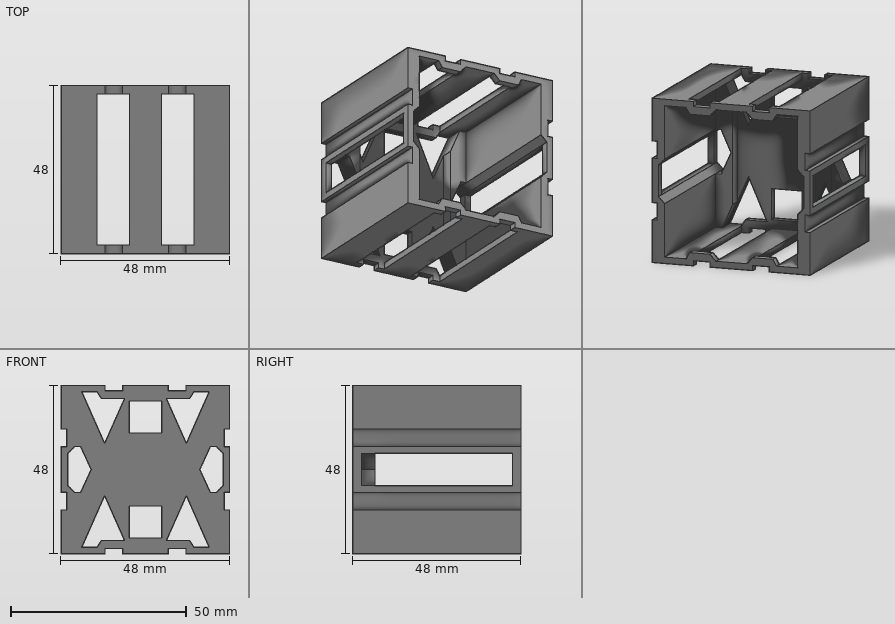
import cadquery as cq

SIZE = 48.0
HALF = SIZE / 2
WALL = 1.9
CAVITY_HALF = HALF - WALL

GROOVE_OFFSET = 9.0
GROOVE_WIDTH = 5.0
GROOVE_DEPTH = 1.5
GROOVE_NEAR = GROOVE_OFFSET - GROOVE_WIDTH / 2
GROOVE_FAR = GROOVE_OFFSET + GROOVE_WIDTH / 2

RIB_HEIGHT = 1.9
RIB_LEVEL = CAVITY_HALF - RIB_HEIGHT
RIB_NEAR_TIP = GROOVE_NEAR
RIB_NEAR_ROOT = RIB_NEAR_TIP - RIB_HEIGHT
RIB_FAR_TIP = 12.6
RIB_FAR_ROOT = 13.8

PLATE = 6.4
SKIN = 2.5
PLATE_BACK = -HALF + PLATE
SKIN_BACK = -HALF + SKIN
RELIEF_HALF = 15.0

SLOT_HALF_LENGTH = HALF - SKIN
SLOT_NEAR = RIB_NEAR_ROOT
SLOT_FAR = RIB_FAR_ROOT

WINDOW_HALF_WIDTH = RIB_NEAR_ROOT
WINDOW_BOTTOM = 10.45
WINDOW_TOP = 19.5
TRIANGLE_OUTER_X = 18.1
TRIANGLE_INNER_X = 6.0
TRIANGLE_APEX = (11.64, 7.5)
SIDE_HOLE_APEX_X = 15.5
SIDE_HOLE_SHOULDER_X = 18.5

SIGNS = (1, -1)


def prism(points, y_start, y_end):
    """Extrude a closed XZ outline along +Y from y_start to y_end."""
    sketch = cq.Workplane("XZ", origin=(0, y_start, 0)).polyline(points).close()
    return sketch.extrude(y_start - y_end)


def block(x_range, y_range, z_range):
    """Box spanning the given coordinate ranges, each in either order."""
    ranges = [sorted(limits) for limits in (x_range, y_range, z_range)]
    lows = [low for low, high in ranges]
    sizes = [high - low for low, high in ranges]
    return cq.Workplane("XY").box(*sizes, centered=False).translate(tuple(lows))


def flip(points, x_sign, z_sign):
    """Mirror XZ points into the quadrant with the given signs."""
    return [(x_sign * x, z_sign * z) for x, z in points]


def cavity_prism(y_start):
    """Inside of the box, from y_start to the open back."""
    quadrant = [
        (CAVITY_HALF, RIB_NEAR_ROOT),
        (RIB_LEVEL, RIB_NEAR_TIP),
        (RIB_LEVEL, CAVITY_HALF),
        (RIB_FAR_ROOT, CAVITY_HALF),
        (RIB_FAR_TIP, RIB_LEVEL),
        (RIB_NEAR_TIP, RIB_LEVEL),
        (RIB_NEAR_ROOT, CAVITY_HALF),
    ]
    backwards = quadrant[::-1]
    outline = quadrant + flip(backwards, -1, 1) + flip(quadrant, -1, -1) + flip(backwards, 1, -1)
    return prism(outline, y_start, HALF)


def cut_cavity(body):
    """Hollow the cube and thin the middle of the front plate."""
    middle = block((-RELIEF_HALF, RELIEF_HALF), (-HALF, HALF), (-HALF, HALF))
    relief = cavity_prism(SKIN_BACK).intersect(middle)
    return body.cut(cavity_prism(PLATE_BACK)).cut(relief)


def cut_grooves(body):
    """Two full-length grooves in each side face."""
    for quarter_turn in range(4):
        for sign in SIGNS:
            groove = block(
                (sign * GROOVE_NEAR, sign * GROOVE_FAR),
                (-HALF, HALF),
                (HALF - GROOVE_DEPTH, HALF),
            )
            body = body.cut(groove.rotate((0, 0, 0), (0, 1, 0), 90 * quarter_turn))
    return body


def cut_wall_slots(body):
    """Paired slots through top and bottom, and one slot in each X wall."""
    length = (-SLOT_HALF_LENGTH, SLOT_HALF_LENGTH)
    for sign in SIGNS:
        vertical = block((sign * SLOT_NEAR, sign * SLOT_FAR), length, (-HALF, HALF))
        sideways = block((sign * RIB_LEVEL, sign * HALF), length, (-SLOT_NEAR, SLOT_NEAR))
        body = body.cut(vertical).cut(sideways)
    return body


def cut_plate_openings(body):
    """Triangles, side holes and square windows through the front plate."""
    triangle = [
        (TRIANGLE_OUTER_X, CAVITY_HALF),
        (RIB_FAR_ROOT, CAVITY_HALF),
        (RIB_FAR_TIP, RIB_LEVEL),
        (TRIANGLE_INNER_X, RIB_LEVEL),
        TRIANGLE_APEX,
    ]
    upper_side_hole = [
        (SIDE_HOLE_SHOULDER_X, RIB_NEAR_TIP),
        (RIB_LEVEL, RIB_NEAR_TIP),
        (CAVITY_HALF, RIB_NEAR_ROOT),
    ]
    side_hole = [(SIDE_HOLE_APEX_X, 0)] + upper_side_hole + flip(upper_side_hole[::-1], 1, -1)
    plate_depth = (-HALF, PLATE_BACK)

    for x_sign in SIGNS:
        body = body.cut(prism(flip(side_hole, x_sign, 1), *plate_depth))
        for z_sign in SIGNS:
            body = body.cut(prism(flip(triangle, x_sign, z_sign), *plate_depth))

    for z_sign in SIGNS:
        window = block(
            (-WINDOW_HALF_WIDTH, WINDOW_HALF_WIDTH),
            plate_depth,
            (z_sign * WINDOW_BOTTOM, z_sign * WINDOW_TOP),
        )
        body = body.cut(window)
    return body


body = cq.Workplane("XY").box(SIZE, SIZE, SIZE)
body = cut_cavity(body)
body = cut_grooves(body)
body = cut_wall_slots(body)
result = cut_plate_openings(body)